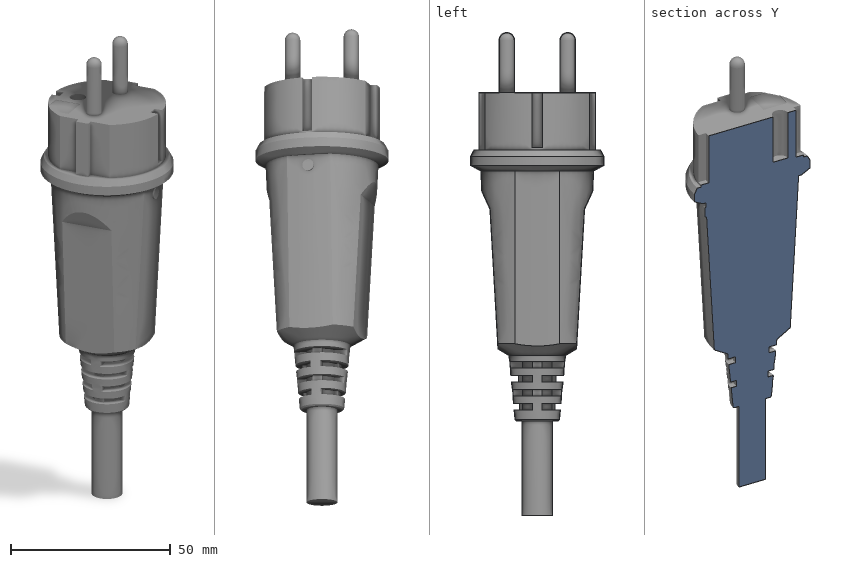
import cadquery as cq
import math

total_height = 151.0
face_z = 132.3
collar_top_z = 114.3
collar_edge_z = 112.3
collar_under_z = 109.5
body_top_z = 107.8
relief_top_z = 50.1
relief_bottom_z = 29.6

pin_radius = 2.4
pin_offset = 9.5
earth_hole_radius = 2.5
earth_hole_x = -10.1
earth_hole_depth = 16.6

head_radius = 18.4
head_flat_y = 16.3
key_width = 4.2
key_reach = 18.3
groove_width = 3.2
groove_floor_x = 15.7
groove_end_gap = 0.8
label_left, label_right = -15.4, -7.0
label_front, label_back = -13.6, -4.8
label_depth = 0.2

collar_radius = 20.8
collar_top_radius = 19.8

body_top_radius = 17.7
body_rim_radius = 15.0
body_rim_z = 53.8
relief_top_radius = 8.9
side_top_x = 16.8
side_bottom_x = 13.7
side_curve_radius = 45.3
grip_flat_top_z = 95.9
grip_flat_top_y = 14.8
grip_flat_bottom_y = 12.4
grip_end_z = 101.2
grip_end_y = 17.2
mark_radius = 1.8
mark_z = 104.5
mark_reach = 17.0

relief_bottom_radius = 7.0
relief_chamfer = 0.5
slot_top_z = 48.2
slot_pitch = 4.4
slot_height = 2.0
slot_count = 4
bar_width = 3.0
inner_rib_top_reach = 6.0
inner_rib_reach_step = 0.2
cable_radius = 4.8

margin = 3.0


def cylinder(radius, z_low, z_high, x=0.0, y=0.0):
    return cq.Workplane("XY", origin=(x, y, z_low)).circle(radius).extrude(z_high - z_low)


def block(size_x, size_y, z_low, z_high):
    return cq.Workplane("XY", origin=(0, 0, z_low)).rect(size_x, size_y).extrude(z_high - z_low)


def revolved(profile):
    return cq.Workplane("XZ").polyline(profile).close().revolve(360, (0, 0, 0), (0, 1, 0))


def make_head():
    head = cylinder(head_radius, collar_top_z, face_z)
    head = head.intersect(block(2 * head_radius, 2 * head_flat_y, collar_top_z, face_z))
    head = head.union(block(key_width, 2 * key_reach, collar_top_z, face_z))

    groove_depth = head_radius - groove_floor_x + margin
    for side in (-1, 1):
        groove = block(groove_depth, groove_width, collar_top_z + groove_end_gap, face_z)
        head = head.cut(groove.translate((side * (groove_floor_x + groove_depth / 2), 0, 0)))

    label = block(label_right - label_left, label_back - label_front, face_z - label_depth, face_z)
    label_center = ((label_left + label_right) / 2, (label_front + label_back) / 2, 0)
    head = head.cut(label.translate(label_center))
    return head.cut(cylinder(earth_hole_radius, face_z - earth_hole_depth, face_z, x=earth_hole_x))


def make_pin(y):
    shoulder_z = total_height - pin_radius
    tip = cq.Workplane("XY", origin=(0, y, shoulder_z)).sphere(pin_radius)
    return cylinder(pin_radius, face_z - margin, shoulder_z, y=y).union(tip)


def make_collar():
    return revolved([
        (0, body_top_z),
        (body_top_radius, body_top_z),
        (collar_radius, collar_under_z),
        (collar_radius, collar_edge_z),
        (collar_top_radius, collar_top_z),
        (0, collar_top_z),
    ])


def make_body():
    body = revolved([
        (0, relief_top_z),
        (relief_top_radius, relief_top_z),
        (body_rim_radius, body_rim_z),
        (body_top_radius, body_top_z),
        (0, body_top_z),
    ])

    body_height = body_top_z - body_rim_z
    side_tilt = math.degrees(math.atan2(side_top_x - side_bottom_x, body_height))
    for side in (-1, 1):
        trim = cylinder(side_curve_radius, -body_height, 2 * body_height)
        trim = trim.translate((-side * side_curve_radius, 0, 0))
        trim = trim.rotate((0, 0, 0), (0, 1, 0), side * side_tilt)
        body = body.intersect(trim.translate((side * side_bottom_x, 0, body_rim_z)))

    flat_slope = (grip_flat_top_y - grip_flat_bottom_y) / (grip_flat_top_z - body_rim_z)
    ramp_slope = (grip_end_y - grip_flat_top_y) / (grip_end_z - grip_flat_top_z)
    cut_y = body_top_radius + margin
    grip = (
        cq.Workplane("YZ")
        .polyline([
            (grip_flat_bottom_y - flat_slope * (body_rim_z - relief_top_z), relief_top_z),
            (grip_flat_top_y, grip_flat_top_z),
            (cut_y, grip_flat_top_z + (cut_y - grip_flat_top_y) / ramp_slope),
            (cut_y, relief_top_z),
        ])
        .close()
        .extrude(body_top_radius, both=True)
    )
    return body.cut(grip).cut(grip.mirror("XZ"))


def make_side_mark():
    return (
        cq.Workplane("YZ", origin=(side_bottom_x, 0, 0))
        .center(0, mark_z)
        .circle(mark_radius)
        .extrude(mark_reach - side_bottom_x)
    )


def make_strain_relief():
    relief = revolved([
        (0, relief_bottom_z),
        (relief_bottom_radius - relief_chamfer, relief_bottom_z),
        (relief_bottom_radius, relief_bottom_z + relief_chamfer),
        (relief_top_radius, relief_top_z),
        (0, relief_top_z),
    ])

    full_width = 2 * relief_top_radius
    for level in range(slot_count):
        z_high = slot_top_z - level * slot_pitch
        z_low = z_high - slot_height
        inner_reach = inner_rib_top_reach - level * inner_rib_reach_step
        kept = block(bar_width, full_width, z_low, z_high)
        kept = kept.union(block(2 * inner_reach, bar_width, z_low, z_high))
        kept = kept.union(cylinder(cable_radius, z_low, z_high))
        slot = block(full_width, full_width, z_low, z_high).cut(kept)
        relief = relief.cut(slot.rotate((0, 0, 0), (0, 0, 1), 90 * (level % 2)))
    return relief


result = (
    make_collar()
    .union(make_head())
    .union(make_body())
    .union(make_side_mark())
    .union(make_strain_relief())
    .union(cylinder(cable_radius, 0, relief_top_z))
    .union(make_pin(-pin_offset))
    .union(make_pin(pin_offset))
)